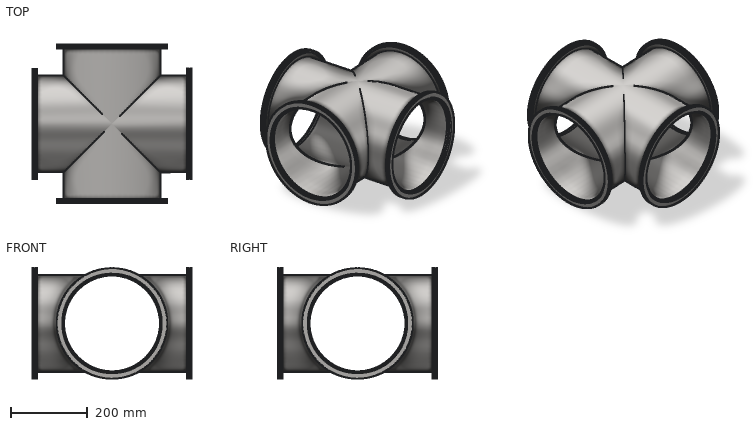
import cadquery as cq

span = 416.0
half_span = span / 2

tube_outer_radius = 254.0 / 2
tube_wall = 2.0
tube_inner_radius = tube_outer_radius - tube_wall

flange_radius = 290.0 / 2
flange_thickness = 12.0
recess_radius = 261.2 / 2
recess_depth = 5.5

rim_groove_start = 2.5
rim_groove_bottom = 4.5
rim_groove_end = 7.5
rim_groove_depth = 2.5

back_groove_inner_radius = 138.0
back_groove_outer_radius = 143.0
back_groove_depth = 1.5

tube_half_length = half_span - recess_depth
branch_angles = [0, 90, 180, 270]


def crossing_cylinders(radius, half_length):
    """Two equal cylinders through the origin, one along X and one along Y."""
    along_x = cq.Workplane("YZ").circle(radius).extrude(half_length, both=True)
    along_y = cq.Workplane("XZ").circle(radius).extrude(half_length, both=True)
    return along_x.union(along_y)


def make_cross():
    """Mitred hollow cross whose tube ends are flush with the flange recess floors."""
    outside = crossing_cylinders(tube_outer_radius, tube_half_length)
    bore = crossing_cylinders(tube_inner_radius, tube_half_length)
    return outside.cut(bore)


def make_flange(angle):
    """Grooved ring around one tube end, turned about Z to its branch."""
    face = half_span
    back = face - flange_thickness
    back_groove_floor = back + back_groove_depth
    profile = (
        cq.Workplane("XY")
        .moveTo(back, tube_outer_radius)
        .lineTo(back, back_groove_inner_radius)
        .lineTo(back_groove_floor, back_groove_inner_radius)
        .lineTo(back_groove_floor, back_groove_outer_radius)
        .lineTo(back, back_groove_outer_radius)
        .lineTo(back, flange_radius)
        .lineTo(face - rim_groove_end, flange_radius)
        .lineTo(face - rim_groove_bottom, flange_radius - rim_groove_depth)
        .lineTo(face - rim_groove_start, flange_radius)
        .lineTo(face, flange_radius)
        .lineTo(face, recess_radius)
        .lineTo(face - recess_depth, recess_radius)
        .lineTo(face - recess_depth, tube_outer_radius)
        .close()
    )
    ring = profile.revolve(360, (0, 0, 0), (1, 0, 0))
    return ring.rotate((0, 0, 0), (0, 0, 1), angle)


cross = make_cross()
flanges = [make_flange(angle) for angle in branch_angles]

result = cq.Compound.makeCompound([cross.val(), *[flange.val() for flange in flanges]])